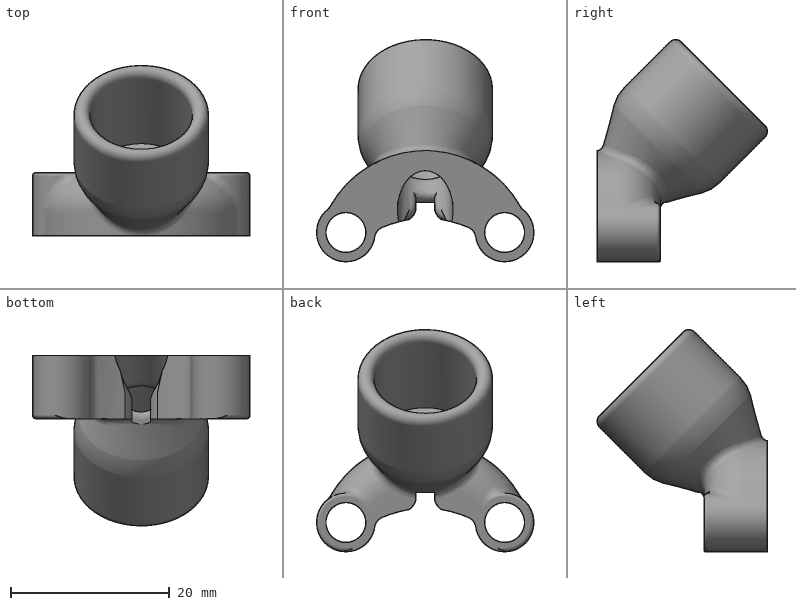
import cadquery as cq
import math

lug_spacing = 20.0
lug_radius = 3.7
lug_hole_radius = 2.5
depth = 8.0
lug_edge_round = 0.45
lug_x = lug_spacing / 2

arch_top = 10.32
arch_radius = 13.73
arch_back_round = 5.0
arch_center_z = arch_top - arch_radius
underside_top = 1.77
underside_radius = 13.45
underside_blend = 1.5
lug_top_blend = 1.4

socket_tilt = 45
axis_z = 2.83
socket_radius = 8.5
socket_bore_radius = 6.45
socket_length = 22.5
socket_floor = 10.0
floor_edge_round = 1.77
cone_top = 12.0
cone_bottom = 3.92
cone_angle = 30
shoulder_round = 5.0
socket_blend = 0.9
passage_radius = 3.5
passage_overrun = 11.2

relief_top = 3.75
relief_half_width = 1.18
relief_wall_bottom = 2.8
relief_mouth_z = 1.3
relief_edge_round = 0.9


def cylinder_y(x, z, radius, length):
    """Cylinder from the mounting face towards +Y."""
    return cq.Workplane("XZ").center(x, z).circle(radius).extrude(-length)


def edges_within(body, low, high):
    """Edges whose centers lie within a box."""
    return body.edges(cq.selectors.BoxSelector(low, high))


def make_lugs():
    lugs = cylinder_y(-lug_x, 0, lug_radius, depth).union(cylinder_y(lug_x, 0, lug_radius, depth))
    return lugs.faces(">Y").edges().fillet(lug_edge_round)


def make_outer_profile():
    """Prism of the arch and lugs, with the corners between underside and lugs blended."""
    underside_center_z = underside_top - underside_radius
    end_z = underside_center_z + math.sqrt(underside_radius**2 - lug_x**2)
    outward = 2
    outer_x = lug_x * outward
    outer_z = arch_center_z * (1 - outward)
    prism = (
        cq.Workplane("XZ")
        .moveTo(-lug_x, end_z)
        .threePointArc((0, underside_top), (lug_x, end_z))
        .lineTo(lug_x, 0)
        .lineTo(outer_x, outer_z)
        .lineTo(outer_x, arch_radius)
        .lineTo(-outer_x, arch_radius)
        .lineTo(-outer_x, outer_z)
        .lineTo(-lug_x, 0)
        .close()
        .extrude(-depth)
    )
    for x in (-lug_x, lug_x):
        prism = prism.union(cylinder_y(x, 0, lug_radius, depth))
    inner_corners = cq.selectors.BoxSelector((-lug_x, 0, -lug_radius), (lug_x, depth, lug_radius))
    return prism.edges("|Y").edges(inner_corners).fillet(underside_blend)


def make_bracket():
    disc = cylinder_y(0, arch_center_z, arch_radius, depth).faces(">Y").edges().fillet(arch_back_round)
    return make_outer_profile().intersect(disc.union(make_lugs()))


def place_on_axis(body):
    """Tilt a body built along +Z onto the socket axis."""
    return body.rotate((0, 0, 0), (1, 0, 0), -socket_tilt).translate((0, 0, axis_z))


def revolve_profile(profile):
    return profile.close().revolve(360, (0, 0, 0), (0, 1, 0))


def make_socket_outside():
    cone_bottom_radius = socket_radius - (cone_top - cone_bottom) * math.tan(math.radians(cone_angle))
    body = revolve_profile(
        cq.Workplane("XZ")
        .moveTo(0, cone_bottom)
        .lineTo(cone_bottom_radius, cone_bottom)
        .lineTo(socket_radius, cone_top)
        .lineTo(socket_radius, socket_length)
        .lineTo(0, socket_length)
    )
    shoulder = edges_within(
        body,
        (-socket_radius, -socket_radius, cone_top - 0.28),
        (socket_radius, socket_radius, cone_top + 0.28),
    )
    return place_on_axis(shoulder.fillet(shoulder_round))


def make_socket_inside():
    """Passage, rounded floor edge, bore and the fully rounded rim."""
    rim_round = (socket_radius - socket_bore_radius) / 2
    rim_start = socket_length - rim_round
    rim_middle = socket_radius - rim_round
    arc_offset = floor_edge_round * (1 - math.sqrt(0.5))
    cut = revolve_profile(
        cq.Workplane("XZ")
        .moveTo(0, -passage_overrun)
        .lineTo(passage_radius, -passage_overrun)
        .lineTo(passage_radius, socket_floor - floor_edge_round)
        .threePointArc(
            (passage_radius + arc_offset, socket_floor - arc_offset),
            (passage_radius + floor_edge_round, socket_floor),
        )
        .lineTo(socket_bore_radius, socket_floor)
        .lineTo(socket_bore_radius, rim_start)
        .radiusArc((rim_middle, socket_length), rim_round)
        .radiusArc((socket_radius, rim_start), rim_round)
        .lineTo(socket_radius * 2, rim_start)
        .lineTo(socket_radius * 2, socket_length * 2)
        .lineTo(0, socket_length * 2)
    )
    return place_on_axis(cut)


def make_relief():
    mouth = passage_radius
    bottom = -lug_radius
    lip_bulge = 0.3
    lip_x = relief_half_width + (mouth - relief_half_width) * lip_bulge
    lip_z = relief_mouth_z + (relief_wall_bottom - relief_mouth_z) * lip_bulge
    return (
        cq.Workplane("XZ")
        .moveTo(-relief_half_width, relief_top)
        .lineTo(relief_half_width, relief_top)
        .lineTo(relief_half_width, relief_wall_bottom)
        .threePointArc((lip_x, lip_z), (mouth, relief_mouth_z))
        .lineTo(mouth, bottom)
        .lineTo(-mouth, bottom)
        .lineTo(-mouth, relief_mouth_z)
        .threePointArc((-lip_x, lip_z), (-relief_half_width, relief_wall_bottom))
        .close()
        .extrude(-depth * 2)
    )


def blend_socket(body):
    """Blend the crease between the socket cone and the arch."""
    half_width = arch_radius * 0.45
    low = (-half_width, depth * 0.04, 3.35)
    high = (half_width, depth * 0.99, arch_top)
    return edges_within(body, low, high).fillet(socket_blend)


def blend_lug_tops(body):
    """Blend the creases where the flanks of the arch run into the lugs."""
    for side in (-1, 1):
        middle = side * lug_x
        low = (middle - lug_radius, depth * 0.1, lug_radius / 2)
        high = (middle + lug_radius, depth - arch_back_round, lug_radius)
        body = edges_within(body, low, high).edges("|Y").fillet(lug_top_blend)
    return body


def round_relief_edges(body):
    """Round the edges where the relief breaks into the passage, behind its mouth."""
    low = (-passage_radius, depth * 0.4, (relief_mouth_z + relief_wall_bottom) / 2)
    high = (passage_radius, depth * 0.75, relief_top + relief_edge_round)
    return edges_within(body, low, high).fillet(relief_edge_round)


def drill_lugs(body):
    for x in (-lug_x, lug_x):
        body = body.cut(cylinder_y(x, 0, lug_hole_radius, depth))
    return body


bracket = make_bracket().union(make_socket_outside())
bracket = blend_lug_tops(blend_socket(bracket))
bracket = bracket.cut(make_socket_inside()).cut(make_relief())
result = drill_lugs(round_relief_edges(bracket))